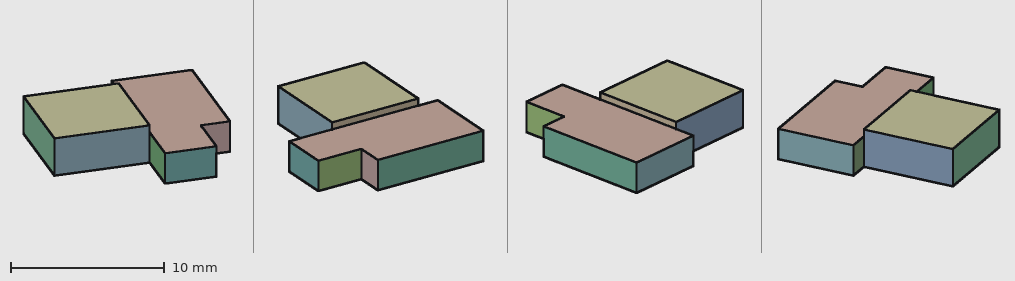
import cadquery as cq

total_width = 11.5
total_length = 12.0
total_height = 2.7

block_length = 6.5
block_left = 1.5
block_width = 6.67
block_right = block_left + block_width

step_down = 0.5
body_height = total_height - step_down
body_length = total_length - block_length

tab_length = 3.5
tab_width = total_width - block_right


def box_at(x, y, width, length, height):
    """Box standing on the base plane with its front left corner at (x, y)."""
    return cq.Workplane("XY").box(width, length, height, centered=False).translate((x, y, 0))


front_block = box_at(block_left, 0, block_width, block_length, total_height)
rear_body = box_at(0, block_length, block_right, body_length, body_height)
side_tab = box_at(block_right, block_length, tab_width, tab_length, body_height)

result = rear_body.union(side_tab).union(front_block)